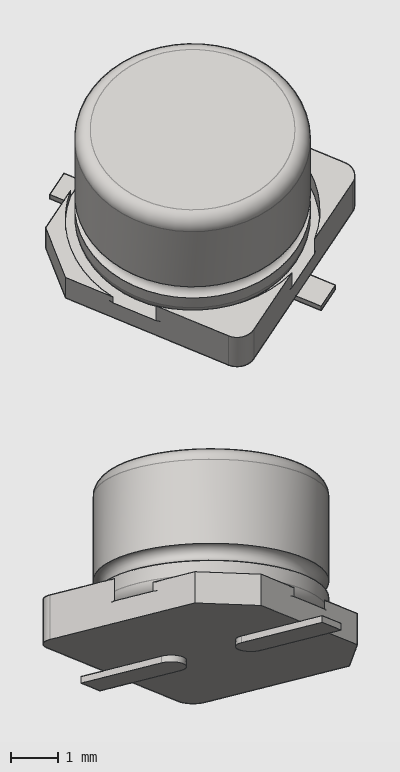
import cadquery as cq

BASE_SIDE = 5.3
BASE_BOTTOM_Z = 0.15
BASE_LOW_TOP_Z = 0.85
BASE_HIGH_TOP_Z = 1.15
CORNER_CHAMFER = 1.0
CORNER_RADIUS = 0.4

POCKET_DIAMETER = 5.4
POCKET_FLOOR_Z = 0.65

CAN_DIAMETER = 5.0
CAN_TOP_Z = 3.9
CAN_EDGE_RADIUS = 0.33
GROOVE_BOTTOM_Z = 1.31
GROOVE_TOP_Z = 1.69
GROOVE_DEPTH = 0.19

LEAD_SPAN = 6.5
LEAD_WIDTH = 0.65
LEAD_THICKNESS = BASE_BOTTOM_Z
LEAD_INNER_GAP = 1.5


def make_base():
    """Square plate, low on the -X half and high on the +X half, with a round pocket."""
    half_side = BASE_SIDE / 2
    base = (
        cq.Workplane("XY")
        .workplane(offset=BASE_BOTTOM_Z)
        .rect(BASE_SIDE, BASE_SIDE)
        .extrude(BASE_HIGH_TOP_Z - BASE_BOTTOM_Z)
    )
    base = base.edges("|Z and <X").chamfer(CORNER_CHAMFER)
    base = base.edges("|Z and >X").fillet(CORNER_RADIUS)

    low_half = (
        cq.Workplane("XY")
        .workplane(offset=BASE_LOW_TOP_Z)
        .center(-half_side / 2, 0)
        .rect(half_side, BASE_SIDE)
        .extrude(BASE_HIGH_TOP_Z - BASE_LOW_TOP_Z)
    )
    pocket = (
        cq.Workplane("XY")
        .workplane(offset=POCKET_FLOOR_Z)
        .circle(POCKET_DIAMETER / 2)
        .extrude(BASE_HIGH_TOP_Z - POCKET_FLOOR_Z)
    )
    return base.cut(low_half).cut(pocket)


def make_can():
    """Cylinder with rounded ends and a crimp groove, revolved about Z."""
    radius = CAN_DIAMETER / 2
    groove_middle = (radius - GROOVE_DEPTH, (GROOVE_BOTTOM_Z + GROOVE_TOP_Z) / 2)
    profile = (
        cq.Workplane("XZ")
        .moveTo(0, POCKET_FLOOR_Z)
        .lineTo(radius - CAN_EDGE_RADIUS, POCKET_FLOOR_Z)
        .radiusArc((radius, POCKET_FLOOR_Z + CAN_EDGE_RADIUS), -CAN_EDGE_RADIUS)
        .lineTo(radius, GROOVE_BOTTOM_Z)
        .threePointArc(groove_middle, (radius, GROOVE_TOP_Z))
        .lineTo(radius, CAN_TOP_Z - CAN_EDGE_RADIUS)
        .radiusArc((radius - CAN_EDGE_RADIUS, CAN_TOP_Z), -CAN_EDGE_RADIUS)
        .lineTo(0, CAN_TOP_Z)
        .close()
    )
    return profile.revolve(360, (0, 0, 0), (0, 1, 0))


def make_lead(side):
    """Flat strip under the base with a full-round inner end; side is -1 or +1 along X."""
    end_radius = LEAD_WIDTH / 2
    inner_x = side * LEAD_INNER_GAP / 2
    arc_x = inner_x + side * end_radius
    outer_x = side * LEAD_SPAN / 2
    return (
        cq.Workplane("XY")
        .moveTo(outer_x, -end_radius)
        .lineTo(arc_x, -end_radius)
        .threePointArc((inner_x, 0), (arc_x, end_radius))
        .lineTo(outer_x, end_radius)
        .close()
        .extrude(LEAD_THICKNESS)
    )


result = make_base().union(make_can())
for lead_side in (-1, 1):
    result = result.union(make_lead(lead_side))